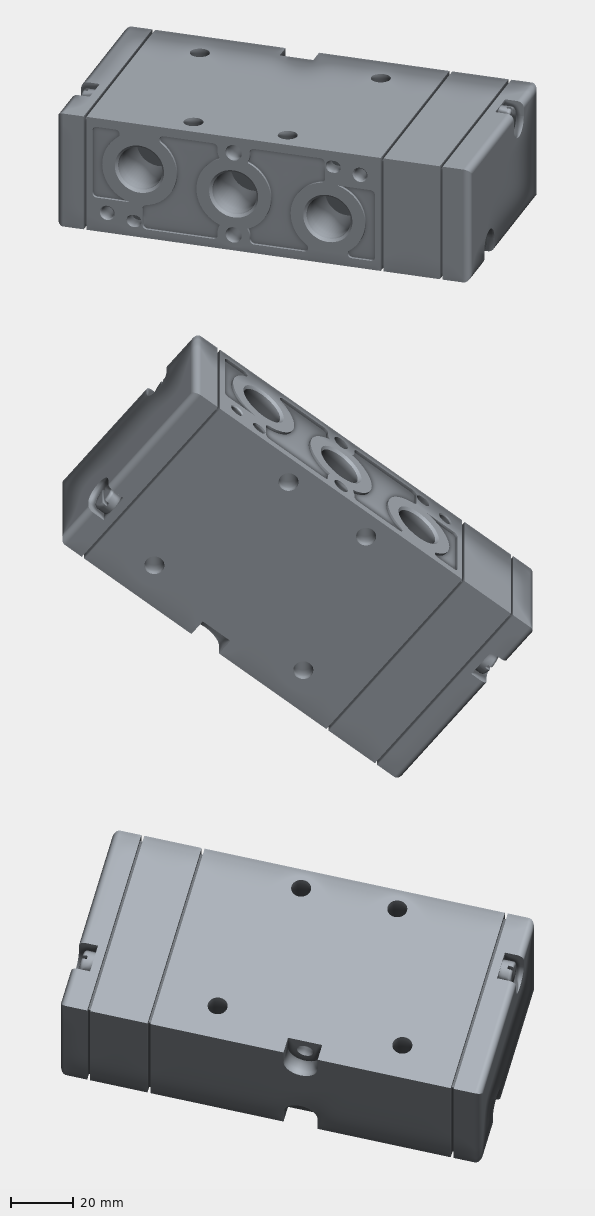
import cadquery as cq
import math

LENGTH = 140.0
DEPTH = 70.0
HEIGHT = 40.0
END_ROUND = 2.2
TOLERANCE = 0.01
HALF_L, HALF_D, HALF_H = LENGTH / 2, DEPTH / 2, HEIGHT / 2

SEAM_WIDTH = 1.0
SEAM_DEPTH = 1.4
CAP_SEAM_X = 60.3
SPACER_SEAM_X = 40.3
BODY_X = (SPACER_SEAM_X - CAP_SEAM_X) / 2

PORT_DIA = 15.0
PORT_MOUTH_DIA = 16.7
PORT_DEPTH = 19.6
PORT_PITCH = 31.9
PORT_RISE = 4.0
PORTS = [(-PORT_PITCH, PORT_RISE), (0, 0), (PORT_PITCH, -PORT_RISE)]

RELIEF_DEPTH = 1.0
RELIEF_HALF_W = 47.9
RELIEF_HALF_H = 17.0
RELIEF_ROUND = 1.5
CHANNEL_ROUND = 1.4
RING_RADIUS = 12.6
CHANNEL_WIDTH = 13.5
SCREW_LAND_DIA = 10.9
CORNER_LAND_X = 31.0
CORNER_LAND_Z = 8.1

SCREW_DIA = 5.5
SCREW_Z = 14.5
SCREW_SEAT_WIDTH = 11.3
SCREW_SEAT_DEPTH = 5.9
PILOT_DIA = 4.2
PILOT_MOUTH_DIA = 5.0
PILOT_DEPTH = 8.4
PILOT_X, PILOT_Z = 42.8, 13.0
DRILL_TIP_ANGLE = 118.0
VENT_X = 33.7
VENT_LENGTH = 5.0
VENT_HEIGHT = 4.2
VENT_DEPTH = 5.6

MOUNT_DIA = 6.5
MOUNT_REAR_X, MOUNT_REAR_Y = 30.7, 22.8
MOUNT_FRONT_X, MOUNT_FRONT_Y = 16.0, -27.9

CAP_SCREW_Y = 15.0
CAP_SCREW_Z = 15.0
POCKET_WIDTH = 10.2
POCKET_DEPTH = 6.3
HEAD_DIA = 9.7
HEAD_SINK = 2.2
HEAD_ROUND = 1.0
DRIVER_SLOT_WIDTH = 1.3
DRIVER_SLOT_DEPTH = 1.8


def box_between(x0, x1, y0, y1, z0, z1):
    return cq.Workplane("XY").box(x1 - x0, y1 - y0, z1 - z0, centered=False).translate((x0, y0, z0))


def front_cylinder(x, z, diameter, depth):
    """Cylinder running from the front face into the body; x is measured from the body middle."""
    start = cq.Vector(BODY_X + x, -HALF_D, z)
    return cq.Workplane(cq.Solid.makeCylinder(diameter / 2, depth, start, cq.Vector(0, 1, 0)))


def front_cone(x, z, mouth_dia, end_dia, depth, sink=0.0):
    start = cq.Vector(BODY_X + x, -HALF_D + sink, z)
    return cq.Workplane(cq.Solid.makeCone(mouth_dia / 2, end_dia / 2, depth, start, cq.Vector(0, 1, 0)))


def front_block(x0, x1, z0, z1):
    """Block as deep as the front relief."""
    return box_between(BODY_X + x0, BODY_X + x1, -HALF_D, -HALF_D + RELIEF_DEPTH, z0, z1)


def seam(x):
    outer = cq.Workplane("YZ").rect(DEPTH, HEIGHT)
    ring = outer.rect(DEPTH - 2 * SEAM_DEPTH, HEIGHT - 2 * SEAM_DEPTH).extrude(SEAM_WIDTH)
    return ring.translate((x - SEAM_WIDTH / 2, 0, 0))


def is_tip(x, z):
    """Corners left sharp: the points where a corner land meets an outer port ring at a narrow angle."""
    return abs(abs(z) - CORNER_LAND_Z) < TOLERANCE and abs(x) < RELIEF_HALF_W - TOLERANCE


def is_channel_corner(x, z):
    """Corners beside the channels that run from the outer port rings to the relief edge."""
    return abs(abs(abs(x) - PORT_PITCH) - CHANNEL_WIDTH / 2) < TOLERANCE and x * z < 0


def is_on_middle_ring(x, z):
    return abs(math.hypot(x, z) - RING_RADIUS) < TOLERANCE


def is_plain_corner(x, z):
    return not (is_tip(x, z) or is_channel_corner(x, z) or is_on_middle_ring(x, z))


def round_corners(relief, chosen, radius):
    """Round the upright edges whose place, measured from the body middle, is chosen."""
    corners = relief.edges("|Y").filter(lambda edge: chosen(edge.Center().x - BODY_X, edge.Center().z))
    return corners.fillet(radius)


def front_relief():
    relief = front_block(-RELIEF_HALF_W, RELIEF_HALF_W, -RELIEF_HALF_H, RELIEF_HALF_H)
    for x, z in PORTS:
        relief = relief.cut(front_cylinder(x, z, 2 * RING_RADIUS, RELIEF_DEPTH))
    for z in (-SCREW_Z, SCREW_Z):
        relief = relief.cut(front_cylinder(0, z, SCREW_LAND_DIA, RELIEF_DEPTH))
    inner = PORT_PITCH - CHANNEL_WIDTH / 2
    outer = PORT_PITCH + CHANNEL_WIDTH / 2
    relief = relief.cut(front_block(-outer, -inner, PORT_RISE, HALF_H))
    relief = relief.cut(front_block(inner, outer, -HALF_H, -PORT_RISE))
    relief = relief.cut(front_block(-HALF_L, -CORNER_LAND_X, -HALF_H, -CORNER_LAND_Z))
    relief = relief.cut(front_block(CORNER_LAND_X, HALF_L, CORNER_LAND_Z, HALF_H))
    relief = round_corners(relief, is_channel_corner, CHANNEL_ROUND)
    return round_corners(relief, is_plain_corner, RELIEF_ROUND)


def port(x, z):
    mouth_depth = (PORT_MOUTH_DIA - PORT_DIA) / 2
    bore = front_cylinder(x, z, PORT_DIA, PORT_DEPTH)
    return bore.union(front_cone(x, z, PORT_MOUTH_DIA, PORT_DIA, mouth_depth))


def pilot_hole(x, z):
    mouth_depth = (PILOT_MOUTH_DIA - PILOT_DIA) / 2
    tip_depth = PILOT_DIA / 2 / math.tan(math.radians(DRILL_TIP_ANGLE / 2))
    hole = front_cylinder(x, z, PILOT_DIA, PILOT_DEPTH)
    hole = hole.union(front_cone(x, z, PILOT_MOUTH_DIA, PILOT_DIA, mouth_depth))
    return hole.union(front_cone(x, z, PILOT_DIA, 0, tip_depth, PILOT_DEPTH))


def vent_slot(x, z):
    slot = cq.Workplane("XZ").slot2D(VENT_LENGTH, VENT_HEIGHT).extrude(-VENT_DEPTH)
    return slot.translate((BODY_X + x, -HALF_D, z))


def screw_hole(side):
    """Through hole with a round-bottomed rear seat open to the top (side 1) or bottom (side -1)."""
    z = side * SCREW_Z
    half_seat = SCREW_SEAT_WIDTH / 2
    seat_start = HALF_D - SCREW_SEAT_DEPTH
    seat_round = front_cylinder(0, z, SCREW_SEAT_WIDTH, SCREW_SEAT_DEPTH)
    seat_round = seat_round.translate((0, DEPTH - SCREW_SEAT_DEPTH, 0))
    seat_opening = box_between(
        BODY_X - half_seat, BODY_X + half_seat, seat_start, HALF_D, *sorted((z, side * HALF_H))
    )
    return front_cylinder(0, z, SCREW_DIA, DEPTH).union(seat_round).union(seat_opening)


def mounting_holes():
    places = [(BODY_X + s * MOUNT_REAR_X, MOUNT_REAR_Y) for s in (-1, 1)]
    places += [(BODY_X + s * MOUNT_FRONT_X, MOUNT_FRONT_Y) for s in (-1, 1)]
    return cq.Workplane("XY").pushPoints(places).circle(MOUNT_DIA / 2).extrude(HALF_H, both=True)


def cap_pocket(y, z):
    """Pocket in the -X end, open towards the nearer of the top and bottom faces."""
    half_width = POCKET_WIDTH / 2
    outer_z = math.copysign(HALF_H, z)
    pocket = cq.Workplane("YZ").circle(half_width).extrude(POCKET_DEPTH).translate((-HALF_L, y, z))
    opening = box_between(
        -HALF_L, -HALF_L + POCKET_DEPTH, y - half_width, y + half_width, *sorted((z, outer_z))
    )
    return pocket.union(opening)


def cap_screw(y, z):
    """Slotted screw head standing on the floor of a -X pocket."""
    head_height = POCKET_DEPTH - HEAD_SINK
    head = cq.Workplane("YZ").circle(HEAD_DIA / 2).extrude(head_height).faces("<X").edges().fillet(HEAD_ROUND)
    slot = box_between(
        0, DRIVER_SLOT_DEPTH, -DRIVER_SLOT_WIDTH / 2, DRIVER_SLOT_WIDTH / 2, -HEAD_DIA, HEAD_DIA
    )
    return head.cut(slot).translate((HEAD_SINK - HALF_L, y, z))


body = cq.Workplane("XY").box(LENGTH, DEPTH, HEIGHT)
body = body.faces("<X or >X").edges().fillet(END_ROUND)
for seam_x in (-CAP_SEAM_X, SPACER_SEAM_X, CAP_SEAM_X):
    body = body.cut(seam(seam_x))

body = body.cut(front_relief())
for port_x, port_z in PORTS:
    body = body.cut(port(port_x, port_z))
for half_turn in (-1, 1):
    body = body.cut(pilot_hole(half_turn * PILOT_X, half_turn * PILOT_Z))
    body = body.cut(vent_slot(half_turn * VENT_X, half_turn * SCREW_Z))
    body = body.cut(screw_hole(half_turn))

body = body.cut(mounting_holes())

for end_angle in (0, 180):
    for diagonal in (-1, 1):
        place = (diagonal * CAP_SCREW_Y, -diagonal * CAP_SCREW_Z)
        body = body.cut(cap_pocket(*place).rotate((0, 0, 0), (0, 0, 1), end_angle))
        body = body.union(cap_screw(*place).rotate((0, 0, 0), (0, 0, 1), end_angle))

result = body